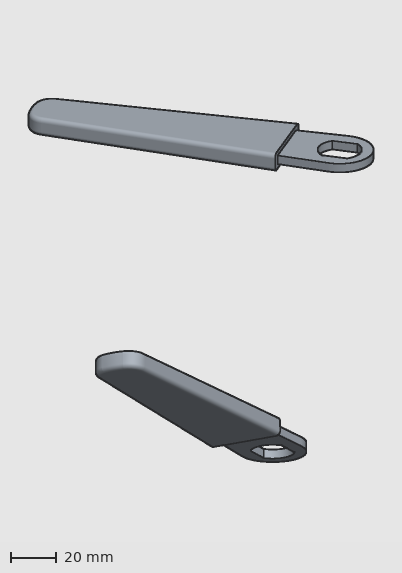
import cadquery as cq
import math

overall_length = 156.7
grip_length = 117.5

grip_thickness = 8.5
grip_front_width = 35.5
grip_side_angle = 3.1
butt_radius = 25.0
butt_corner_radius = 8.3
grip_edge_radius = 2.0

blade_thickness = grip_thickness / 2
blade_root_width = 27.7
eye_radius = 14.9
hole_diameter = 19.5
hole_flat_width = 15.7
eye_x = overall_length - eye_radius


def make_grip():
    """Tapered grip with a bowed butt and rounded long edges."""
    front_y = grip_front_width / 2
    taper = math.tan(math.radians(grip_side_angle))
    side_y_at_center = front_y - (grip_length - butt_radius) * taper
    side_angle = math.radians(grip_side_angle)
    along_side = math.sqrt(butt_radius**2 - (side_y_at_center * math.cos(side_angle)) ** 2)
    foot = side_y_at_center * math.sin(side_angle)
    corner_x = butt_radius - (foot + along_side) * math.cos(side_angle)
    corner_y = front_y - (grip_length - corner_x) * taper

    body = (
        cq.Workplane("XY")
        .moveTo(grip_length, -front_y)
        .lineTo(grip_length, front_y)
        .lineTo(corner_x, corner_y)
        .threePointArc((0, 0), (corner_x, -corner_y))
        .close()
        .extrude(grip_thickness / 2, both=True)
    )
    body = body.edges("|Z").edges("<X").fillet(butt_corner_radius)
    return body.faces("<Z or >Z").edges("not(>X)").fillet(grip_edge_radius)


def make_blade():
    """Flat blade butting against the grip, with an eye pierced by a double-flat hole."""
    root_y = blade_root_width / 2
    root_to_eye = eye_x - grip_length
    center_distance = math.hypot(root_to_eye, root_y)
    tangent_angle = math.pi - math.atan2(root_y, root_to_eye) - math.acos(eye_radius / center_distance)
    tangent_x = eye_x + eye_radius * math.cos(tangent_angle)
    tangent_y = eye_radius * math.sin(tangent_angle)

    plate = (
        cq.Workplane("XY")
        .moveTo(grip_length, -root_y)
        .lineTo(tangent_x, -tangent_y)
        .threePointArc((overall_length, 0), (tangent_x, tangent_y))
        .lineTo(grip_length, root_y)
        .close()
        .extrude(blade_thickness / 2, both=True)
    )
    return plate.cut(make_double_flat_cutter())


def make_double_flat_cutter():
    """Round cutter trimmed by two flats parallel to X."""
    round_cutter = (
        cq.Workplane("XY").center(eye_x, 0).circle(hole_diameter / 2).extrude(blade_thickness, both=True)
    )
    flat_limits = cq.Workplane("XY").center(eye_x, 0).box(hole_diameter, hole_flat_width, 2 * blade_thickness)
    return round_cutter.intersect(flat_limits)


grip = make_grip()
blade = make_blade()

result = cq.Compound.makeCompound([grip.val(), blade.val()])